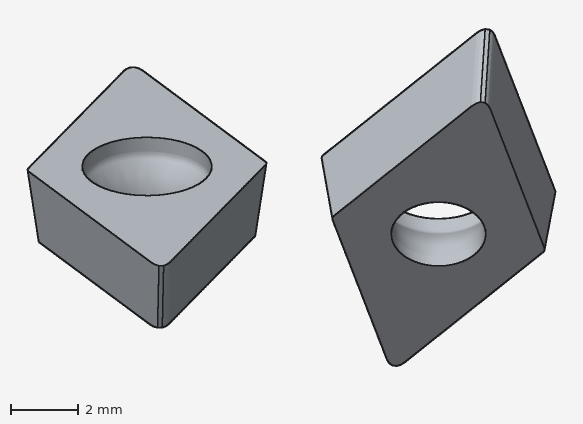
import cadquery as cq
import math

width = 6.35
length = 11.72
thickness = 2.38
sharp_angle = math.radians(55)
clearance_angle = math.radians(7)

mouth_diameter = 3.85
mouth_depth = 0.47
seat_diameter = 3.7
seat_top_depth = 0.68
bore_diameter = 2.8
bore_top_depth = 2.0

blunt_radius = 0.2

half_angle = sharp_angle / 2
unrounded_length = width / math.sin(sharp_angle) + width / math.tan(sharp_angle)
tip_cut = (unrounded_length - length) / 2
tip_half_width = 0.07
lead_flat_start = (0.61, 0)
lead_flat_end = (0.46, 0.016)
side_flat_start = (0.42, 0.026)
tip_depth = (tip_cut + tip_half_width * math.sin(half_angle)) / math.cos(half_angle)
tip_flat_end = (
    tip_depth * math.cos(half_angle) + tip_half_width * math.sin(half_angle),
    tip_depth * math.sin(half_angle) - tip_half_width * math.cos(half_angle),
)
side_flat_ends = [lead_flat_start, lead_flat_end, side_flat_start, tip_flat_end]


def sharp_corner(half_width, apex_y):
    """Points of the -X, +Y corner, from the X-facing side round to the slanted side."""
    sin_corner = math.sin(sharp_angle)
    cos_corner = math.cos(sharp_angle)
    straight_side = [(-half_width + inset, apex_y - along) for along, inset in side_flat_ends]
    slanted_side = [
        (
            -half_width + along * sin_corner - inset * cos_corner,
            apex_y - along * cos_corner - inset * sin_corner,
        )
        for along, inset in reversed(side_flat_ends)
    ]
    return straight_side + slanted_side


def insert_outline(rhombus_width, z):
    """Rhombus wire with two sides along Y, faceted sharp corners and rounded blunt ones."""
    half_width = rhombus_width / 2
    apex_y = half_width / math.tan(half_angle)
    blunt_y = half_width * math.tan(half_angle)
    tangent_length = blunt_radius * math.tan(half_angle)
    corner = sharp_corner(half_width, apex_y)
    arc_start = (
        half_width - tangent_length * math.sin(sharp_angle),
        blunt_y + tangent_length * math.cos(sharp_angle),
    )
    arc_end = (half_width, blunt_y - tangent_length)
    outline = cq.Workplane("XY", origin=(0, 0, z)).moveTo(-half_width, tangent_length - blunt_y)
    for sign in (1, -1):
        for x, y in corner:
            outline = outline.lineTo(sign * x, sign * y)
        outline = outline.lineTo(sign * arc_start[0], sign * arc_start[1])
        outline = outline.tangentArcPoint((sign * arc_end[0], sign * arc_end[1]), relative=False)
    return outline.wire().val()


def insert_body():
    """Taper towards the bottom, keeping the corner sizes constant."""
    bottom_width = width - 2 * thickness * math.tan(clearance_angle)
    bottom = insert_outline(bottom_width, 0)
    top = insert_outline(width, thickness)
    return cq.Workplane(cq.Solid.makeLoft([bottom, top], True))


def screw_hole():
    """Revolved cutter; the seat arc runs tangent into the bore."""
    bore_radius = bore_diameter / 2
    seat_radius = seat_diameter / 2
    mouth_radius = mouth_diameter / 2
    bore_top = (bore_radius, thickness - bore_top_depth)
    seat_top = (seat_radius, thickness - seat_top_depth)
    seat_rise = bore_top_depth - seat_top_depth
    seat_step = seat_radius - bore_radius
    arc_radius = (seat_rise**2 + seat_step**2) / (2 * seat_step)
    half_sweep = math.asin(seat_rise / arc_radius) / 2
    seat_middle = (
        bore_radius + arc_radius * (1 - math.cos(half_sweep)),
        bore_top[1] + arc_radius * math.sin(half_sweep),
    )
    return (
        cq.Workplane("XZ")
        .moveTo(0, thickness)
        .lineTo(mouth_radius, thickness)
        .lineTo(mouth_radius, thickness - mouth_depth)
        .tangentArcPoint(seat_top, relative=False)
        .threePointArc(seat_middle, bore_top)
        .lineTo(bore_radius, 0)
        .lineTo(0, 0)
        .close()
        .revolve(360, (0, 0, 0), (0, 1, 0))
    )


result = insert_body().cut(screw_hole())